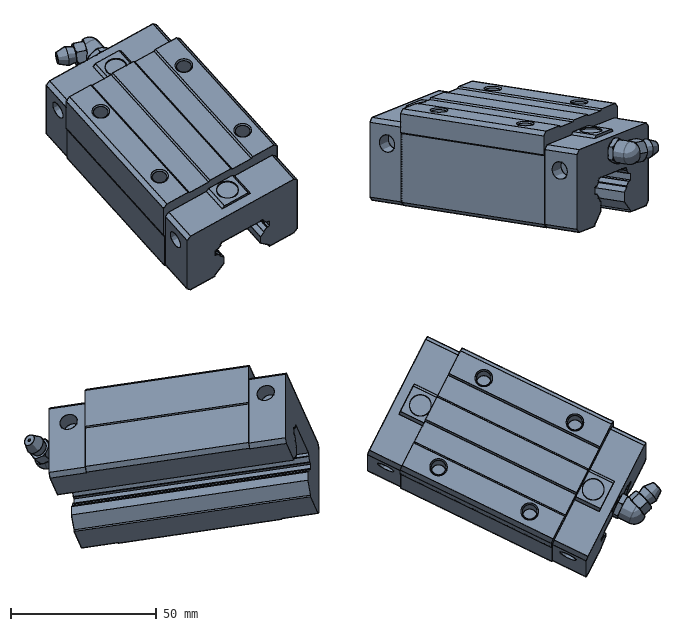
import cadquery as cq
import math


TOTAL_LENGTH = 96.0
CARRIAGE_LENGTH = 84.1

BLOCK_LENGTH = 58.1
BLOCK_HEIGHT = 34.5
BLOCK_HALF_WIDTH = 24.0
BLOCK_RELIEF = 0.4
BLOCK_CHAMFER = 1.4
FRONT_STEP_HEIGHT = 18.0
REAR_STEP_HEIGHT = 26.3

GROOVE_DEPTH = 0.6
GROOVE_INNER = 4.4
GROOVE_OUTER = 13.1

MOUNT_SPACING = 35.0
MOUNT_DIAMETER = 5.1
MOUNT_MOUTH_DIAMETER = 6.0
MOUNT_DEPTH = 8.0

CAP_HEIGHT = 29.5
CAP_HALF_WIDTH = 23.2
CAP_CHAMFER = 1.4
CAP_LENGTH = (CARRIAGE_LENGTH - BLOCK_LENGTH) / 2

PAD_END = 38.5
PAD_HEIGHT = 1.0
PAD_BASE_HALF_WIDTH = 6.0
RECESS_OFFSET = 33.2
RECESS_DIAMETER = 7.5
RECESS_DEPTH = 0.5

PORT_OFFSET = 35.0
PORT_HEIGHT = 21.4
PORT_DIAMETER = 6.1
PORT_DEPTH = 5.8

RAIL_HALF_OUTLINE = [
    (11.4, 0),
    (11.4, 0.7),
    (7.7, 4.4),
    (7.7, 7.9),
    (9.2, 9.4),
    (9.0, 9.8),
    (10.4, 11.1),
    (10.8, 11.1),
    (11.4, 11.4),
    (11.4, 13.6),
    (10.8, 13.9),
    (10.4, 13.9),
    (9.0, 15.3),
    (9.2, 15.6),
    (8.6, 16.5),
]

FITTING_HEIGHT = 24.5
COLLAR_DIAMETER = 6.1
NUT_ACROSS_FLATS = 8.0
NUT_START = 42.6
NUT_END = 44.6
NUT_EDGE_CHAMFER = 0.3
ELBOW_DIAMETER = 8.0
ELBOW_CENTRE = 49.0
ELBOW_OVERHANG = 0.5

NIPPLE_TILT = 20.0
NIPPLE_HEX_START = 2.2
NIPPLE_HEX_END = 6.1
NIPPLE_BAND = 8.9
NIPPLE_TIP = 12.4
NIPPLE_HEX_ACROSS_FLATS = 7.2
NIPPLE_HEX_CHAMFER = 0.4
NIPPLE_NECK_DIAMETER = 5.6
NIPPLE_BAND_DIAMETER = 6.7
NIPPLE_TIP_DIAMETER = 4.1
NIPPLE_BORE_DIAMETER = 1.0
NIPPLE_BORE_DEPTH = 1.9
NIPPLE_AXIS_START = (
    TOTAL_LENGTH
    - CARRIAGE_LENGTH / 2
    - NIPPLE_BAND * math.sin(math.radians(NIPPLE_TILT))
    - NIPPLE_BAND_DIAMETER / 2 * math.cos(math.radians(NIPPLE_TILT))
)


def across_corners(across_flats):
    return across_flats / math.cos(math.radians(30))


def extrude_along_x(outline, start, length):
    """Extrude a (Y, Z) outline towards +X."""
    return cq.Workplane("YZ", origin=(start, 0, 0)).polyline(outline).close().extrude(length)


def make_block():
    lower_half_width = BLOCK_HALF_WIDTH - BLOCK_RELIEF
    outline = [
        (-lower_half_width + BLOCK_CHAMFER, 0),
        (lower_half_width - BLOCK_CHAMFER, 0),
        (lower_half_width, BLOCK_CHAMFER),
        (lower_half_width, REAR_STEP_HEIGHT - BLOCK_RELIEF),
        (BLOCK_HALF_WIDTH, REAR_STEP_HEIGHT),
        (BLOCK_HALF_WIDTH, BLOCK_HEIGHT - BLOCK_CHAMFER),
        (BLOCK_HALF_WIDTH - BLOCK_CHAMFER, BLOCK_HEIGHT),
        (-BLOCK_HALF_WIDTH + BLOCK_CHAMFER, BLOCK_HEIGHT),
        (-BLOCK_HALF_WIDTH, BLOCK_HEIGHT - BLOCK_CHAMFER),
        (-BLOCK_HALF_WIDTH, FRONT_STEP_HEIGHT),
        (-lower_half_width, FRONT_STEP_HEIGHT - BLOCK_RELIEF),
        (-lower_half_width, BLOCK_CHAMFER),
    ]
    block = extrude_along_x(outline, -BLOCK_LENGTH / 2, BLOCK_LENGTH)
    for side in (-1, 1):
        block = block.cut(make_groove(side))
    return block.cut(make_mounting_holes())


def make_groove(side):
    """Flat groove with 45 degree flanks on one side of the top face."""
    floor = BLOCK_HEIGHT - GROOVE_DEPTH
    outline = [
        (side * GROOVE_INNER, BLOCK_HEIGHT),
        (side * (GROOVE_INNER + GROOVE_DEPTH), floor),
        (side * GROOVE_OUTER, floor),
        (side * (GROOVE_OUTER + GROOVE_DEPTH), BLOCK_HEIGHT),
    ]
    return extrude_along_x(outline, -BLOCK_LENGTH / 2, BLOCK_LENGTH)


def make_mounting_holes():
    """Four blind holes with 45 degree countersunk mouths."""
    radius = MOUNT_DIAMETER / 2
    mouth_radius = MOUNT_MOUTH_DIAMETER / 2
    mouth_depth = mouth_radius - radius
    half_section = [
        (0, 0),
        (mouth_radius, 0),
        (radius, -mouth_depth),
        (radius, -MOUNT_DEPTH),
        (0, -MOUNT_DEPTH),
    ]
    hole = cq.Workplane("XZ").polyline(half_section).close().revolve(360, (0, 0), (0, 1)).val()
    return (
        cq.Workplane("XY", origin=(0, 0, BLOCK_HEIGHT))
        .rect(MOUNT_SPACING, MOUNT_SPACING, forConstruction=True)
        .vertices()
        .eachpoint(lambda place: hole.moved(place))
    )


def make_cap():
    """End cap at -X, with its pad, recess and two side ports."""
    start = -CARRIAGE_LENGTH / 2
    cap = (
        cq.Workplane("XY")
        .box(CAP_LENGTH, 2 * CAP_HALF_WIDTH, CAP_HEIGHT, centered=(False, True, False))
        .edges("|X")
        .chamfer(CAP_CHAMFER)
        .translate((start, 0, 0))
    )

    pad_top = CAP_HEIGHT + PAD_HEIGHT
    pad_top_half_width = PAD_BASE_HALF_WIDTH - PAD_HEIGHT
    pad_outline = [
        (-PAD_BASE_HALF_WIDTH, CAP_HEIGHT),
        (PAD_BASE_HALF_WIDTH, CAP_HEIGHT),
        (pad_top_half_width, pad_top),
        (-pad_top_half_width, pad_top),
    ]
    cap = cap.union(extrude_along_x(pad_outline, -PAD_END, PAD_END - BLOCK_LENGTH / 2))

    recess = (
        cq.Workplane("XY", origin=(-RECESS_OFFSET, 0, pad_top))
        .circle(RECESS_DIAMETER / 2)
        .extrude(-RECESS_DEPTH)
    )
    cap = cap.cut(recess)

    port = (
        cq.Workplane("XZ", origin=(-PORT_OFFSET, -CAP_HALF_WIDTH, PORT_HEIGHT))
        .circle(PORT_DIAMETER / 2)
        .extrude(-PORT_DEPTH)
    )
    return cap.cut(port).cut(port.mirror("XZ"))


def make_rail_opening():
    other_half = [(-y, z) for y, z in reversed(RAIL_HALF_OUTLINE)]
    return extrude_along_x(RAIL_HALF_OUTLINE + other_half, -CARRIAGE_LENGTH / 2, CARRIAGE_LENGTH)


def make_hexagon(plane, across_flats, start, end, corner_chamfer):
    """Hexagonal prism along the plane's normal, its corners turned off at both ends."""
    diameter = across_corners(across_flats)
    prism = (
        cq.Workplane(plane)
        .workplane(offset=start)
        .polygon(6, diameter)
        .extrude(end - start)
    )
    turned = (
        cq.Workplane(plane)
        .workplane(offset=start)
        .circle(diameter / 2)
        .extrude(end - start)
        .edges()
        .chamfer(corner_chamfer)
    )
    return prism.intersect(turned)


def nipple_plane():
    """Plane whose normal is the nipple axis, its origin on the elbow axis."""
    tilt = math.radians(NIPPLE_TILT)
    return cq.Plane(
        origin=(-NIPPLE_AXIS_START, 0, FITTING_HEIGHT),
        xDir=(math.cos(tilt), -math.sin(tilt), 0),
        normal=(-math.sin(tilt), -math.cos(tilt), 0),
    )


def make_elbow():
    """Collar, hexagonal nut and domed body along -X, the dome cut flat to seat the nipple."""
    plane = cq.Plane(origin=(0, 0, FITTING_HEIGHT), xDir=(0, 0, 1), normal=(-1, 0, 0))
    cap_face = CARRIAGE_LENGTH / 2
    collar_start = cap_face - ELBOW_OVERHANG
    collar = (
        cq.Workplane(plane)
        .workplane(offset=collar_start)
        .circle(COLLAR_DIAMETER / 2)
        .extrude(NUT_START + ELBOW_OVERHANG - collar_start)
    )
    nut = make_hexagon(plane, NUT_ACROSS_FLATS, NUT_START, NUT_END, NUT_EDGE_CHAMFER)
    body_start = NUT_END - ELBOW_OVERHANG
    body = (
        cq.Workplane(plane)
        .workplane(offset=body_start)
        .circle(ELBOW_DIAMETER / 2)
        .extrude(ELBOW_CENTRE - body_start)
    )
    dome = cq.Workplane("XY", origin=(-ELBOW_CENTRE, 0, FITTING_HEIGHT)).sphere(ELBOW_DIAMETER / 2)
    nipple_seat = (
        cq.Workplane(nipple_plane())
        .workplane(offset=NIPPLE_HEX_START)
        .circle(ELBOW_DIAMETER)
        .extrude(ELBOW_DIAMETER)
    )
    dome = dome.cut(nipple_seat)
    return collar.union(nut).union(body).union(dome)


def make_nipple():
    """Hexagon and tapered head on the tilted axis."""
    plane = nipple_plane()
    hexagon = make_hexagon(
        plane, NIPPLE_HEX_ACROSS_FLATS, NIPPLE_HEX_START, NIPPLE_HEX_END, NIPPLE_HEX_CHAMFER
    )
    flare = (
        cq.Workplane(plane)
        .workplane(offset=NIPPLE_HEX_END)
        .circle(NIPPLE_NECK_DIAMETER / 2)
        .workplane(offset=NIPPLE_BAND - NIPPLE_HEX_END)
        .circle(NIPPLE_BAND_DIAMETER / 2)
        .loft(ruled=True)
    )
    tip = (
        cq.Workplane(plane)
        .workplane(offset=NIPPLE_BAND)
        .circle(NIPPLE_BAND_DIAMETER / 2)
        .workplane(offset=NIPPLE_TIP - NIPPLE_BAND)
        .circle(NIPPLE_TIP_DIAMETER / 2)
        .loft(ruled=True)
    )
    bore = (
        cq.Workplane(plane)
        .workplane(offset=NIPPLE_TIP)
        .circle(NIPPLE_BORE_DIAMETER / 2)
        .extrude(-NIPPLE_BORE_DEPTH)
    )
    return hexagon.union(flare).union(tip).cut(bore)


cap = make_cap()
carriage = make_block().union(cap).union(cap.mirror("YZ")).cut(make_rail_opening())
result = carriage.union(make_elbow()).union(make_nipple())